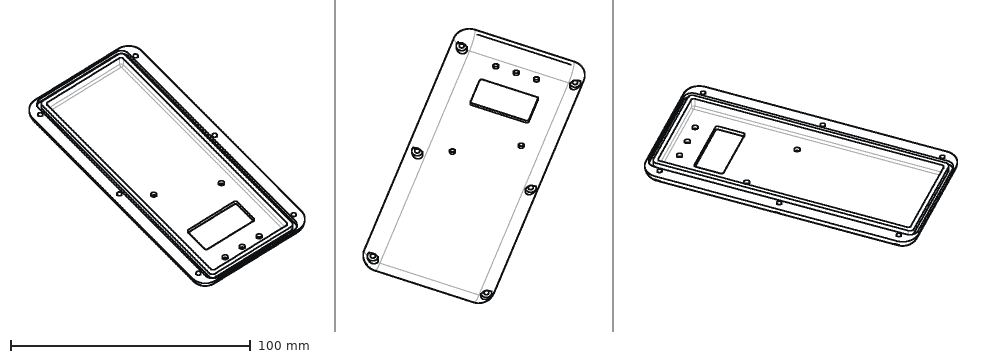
import cadquery as cq
import math

length = 122.0
width = 57.9
height = 7.0
rim_height = 0.5
plate_top = height - rim_height
edge_radius = height

trim_inset = edge_radius - math.sqrt(edge_radius**2 - rim_height**2)
block_length = length + 2 * trim_inset
block_width = width + 2 * trim_inset

groove_length = 120.3
groove_width = 47.5
groove_depth = 2.0
groove_corner = 3.7
groove_gap = 1.8
rim_wall = 1.8
rim_length = groove_length - 2 * groove_gap
rim_width = groove_width - 2 * groove_gap
rim_corner = groove_corner - groove_gap
pocket_length = rim_length - 2 * rim_wall
pocket_width = rim_width - 2 * rim_wall
pocket_corner = 1.1
floor_fillet = 1.0
floor_thickness = 2.0

window_length = 13.0
window_width = 26.1
window_corner = 1.0
window_x = 36.5

floor_hole_diameter = 2.5
button_x = 50.9
button_pitch = 9.0
button_points = [(button_x, row * button_pitch) for row in (-1, 0, 1)]
standoff_points = [(18.9, 14.0), (6.3, -12.0)]

screw_diameter = 2.1
screw_head_diameter = 4.6
screw_head_depth = 3.0
screw_x = 53.5
screw_y = 25.2
screw_points = [(column * screw_x, side * screw_y) for column in (-1, 0, 1) for side in (-1, 1)]


def rounded_block(size_x, size_y, corner, bottom, top):
    """Upright block centred on the Z axis with rounded vertical corners."""
    block = cq.Workplane("XY").workplane(offset=bottom).rect(size_x, size_y).extrude(top - bottom)
    return block.edges("|Z").fillet(corner)


def drills(points, diameter, depth):
    """Cylinders that rise from the underside at the given points."""
    return cq.Workplane("XY").pushPoints(points).circle(diameter / 2).extrude(depth)


def plate():
    """Flange plate whose underside and corners share one rounding radius."""
    block = cq.Workplane("XY").box(block_length, block_width, 2 * height, centered=(True, True, False))
    rounded = block.edges("|Z or <Z").fillet(edge_radius)
    keep = cq.Workplane("XY").box(block_length, block_width, plate_top, centered=(True, True, False))
    return rounded.intersect(keep)


def pocket():
    """Pocket cutter with a rounded bottom edge."""
    cutter = rounded_block(pocket_length, pocket_width, pocket_corner, floor_thickness, height)
    return cutter.faces("<Z").edges().fillet(floor_fillet)


groove_floor = plate_top - groove_depth
groove = rounded_block(groove_length, groove_width, groove_corner, groove_floor, height)
rim = rounded_block(rim_length, rim_width, rim_corner, groove_floor, height)
window = rounded_block(window_length, window_width, window_corner, 0, height).translate((window_x, 0, 0))

result = plate().cut(groove).union(rim).cut(pocket()).cut(window)
result = result.cut(drills(button_points + standoff_points, floor_hole_diameter, height))
result = result.cut(drills(screw_points, screw_diameter, height))
result = result.cut(drills(screw_points, screw_head_diameter, screw_head_depth))